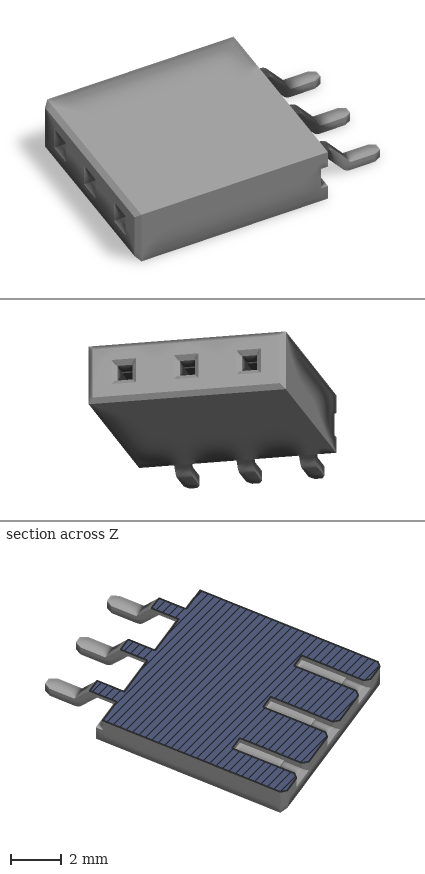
import cadquery as cq
import math


contact_count = 3
pitch = 2.54
contact_xs = [(i - (contact_count - 1) / 2) * pitch for i in range(contact_count)]

end_margin = 0.4
housing_width = contact_count * pitch + end_margin
housing_length = 8.52
housing_height = 2.4
front_chamfer = 0.2
front_y = -housing_length / 2
rear_y = housing_length / 2
top_z = housing_height / 2
bottom_z = -housing_height / 2

groove_depth = 0.3
groove_height = 1.0
groove_below_top = 0.75
groove_floor_y = rear_y - groove_depth
groove_center_z = top_z - groove_below_top - groove_height / 2

mouth_size = 1.0
bore_size = 0.61
lead_in_depth = 0.2
bore_depth = 1.0
slot_height = 0.5
socket_depth = 3.0

tail_width = 0.64
tail_thickness = 0.4
tail_reach = 3.01
tail_embed = 0.3
tail_angle = math.radians(50)
upper_bend_offset = 0.57
tip_length = 0.3
tip_width = 0.32


def make_housing():
    body = cq.Workplane("XY").box(housing_width, housing_length, housing_height)
    body = body.faces("<Y").edges().chamfer(front_chamfer)
    groove = cq.Workplane("XY").box(housing_width, groove_depth, groove_height)
    groove_center_y = rear_y - groove_depth / 2
    return body.cut(groove.translate((0, groove_center_y, groove_center_z)))


def make_socket(x):
    front = cq.Workplane("XZ", origin=(x, front_y, 0))
    lead_in = (
        front.rect(mouth_size, mouth_size)
        .workplane(offset=-lead_in_depth)
        .rect(bore_size, bore_size)
        .loft(ruled=True)
    )
    bore = front.rect(bore_size, bore_size).extrude(-bore_depth)
    slot = front.rect(bore_size, slot_height).extrude(-socket_depth)
    return lead_in.union(bore).union(slot)


def outer_arc_point(center, direction, angle):
    center_y, center_z = center
    y = center_y + direction * tail_thickness * math.sin(angle)
    z = center_z + direction * tail_thickness * math.cos(angle)
    return (y, z)


def make_tail(x):
    start_y = groove_floor_y - tail_embed
    tip_y = rear_y + tail_reach
    upper_top_z = tail_thickness / 2
    upper_bottom_z = -tail_thickness / 2
    lower_top_z = bottom_z + tail_thickness

    drop = upper_bottom_z - lower_top_z
    bend_run = (tail_thickness + drop * math.cos(tail_angle)) / math.sin(tail_angle)
    upper_corner = (rear_y + upper_bend_offset, upper_bottom_z)
    lower_corner = (rear_y + upper_bend_offset + bend_run, lower_top_z)

    profile = (
        cq.Workplane("YZ", origin=(x, 0, 0))
        .moveTo(start_y, upper_bottom_z)
        .lineTo(*upper_corner)
        .lineTo(*outer_arc_point(lower_corner, -1, tail_angle))
        .threePointArc(
            outer_arc_point(lower_corner, -1, tail_angle / 2),
            outer_arc_point(lower_corner, -1, 0),
        )
        .lineTo(tip_y, bottom_z)
        .lineTo(tip_y, lower_top_z)
        .lineTo(*lower_corner)
        .lineTo(*outer_arc_point(upper_corner, 1, tail_angle))
        .threePointArc(
            outer_arc_point(upper_corner, 1, tail_angle / 2),
            outer_arc_point(upper_corner, 1, 0),
        )
        .lineTo(start_y, upper_top_z)
        .close()
    )
    strip = profile.extrude(tail_width / 2, both=True)

    half_width = tail_width / 2
    outline = (
        cq.Workplane("XY", origin=(x, 0, bottom_z))
        .moveTo(-half_width, start_y)
        .lineTo(half_width, start_y)
        .lineTo(half_width, tip_y - tip_length)
        .lineTo(tip_width / 2, tip_y)
        .lineTo(-tip_width / 2, tip_y)
        .lineTo(-half_width, tip_y - tip_length)
        .close()
        .extrude(housing_height)
    )
    return strip.intersect(outline)


result = make_housing()
for contact_x in contact_xs:
    result = result.cut(make_socket(contact_x))
for contact_x in contact_xs:
    result = result.union(make_tail(contact_x))